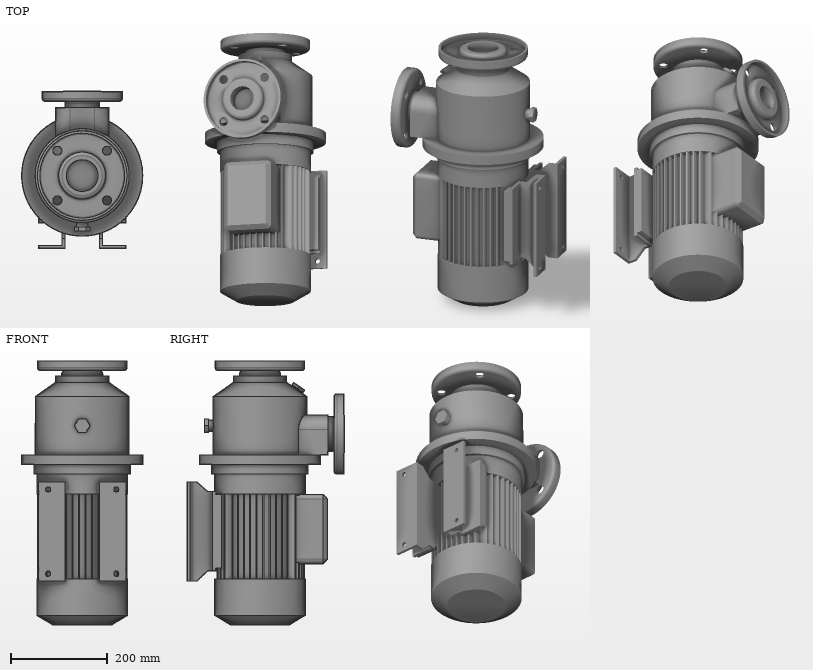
import cadquery as cq
import math

TOTAL_HEIGHT = 545.0
FAN_COVER_CONE_TOP = 19.5
FIN_BOTTOM = 95.0
FIN_TOP = 270.5
SPIGOT_BOTTOM = 312.0
MOTOR_FLANGE_BOTTOM = 331.5
JOINT_HEIGHT = 351.0
CASING_CONE_BOTTOM = 471.0
CASING_CONE_TOP = 500.5
COLLAR_TOP = 514.0

MOTOR_RADIUS = 94.0
FAN_COVER_END_RADIUS = 61.0
MOTOR_CORE_RADIUS = 80.5
FIN_TIP_RADIUS = 92.5
SPIGOT_RADIUS = 100.0
MOTOR_FLANGE_DIAMETER = 250.0
FIN_THICKNESS = 2.0
FIN_PITCH_ANGLE = 8.4
FINS_PER_SIDE = 10
FIN_FRONT_LIMIT = -89.0

BOX_WIDTH = 100.5
BOX_BACK = 139.5
BOX_BOTTOM = 126.0
BOX_HEIGHT = 143.5
BOX_EDGE_RADIUS = 10.0
BOX_CHAMFER = 9.0

BRACKET_INNER_X = 35.5
BRACKET_OUTER_X = 90.0
BRACKET_FRONT = -150.5
BRACKET_THICKNESS = 6.5
BRACKET_BACK_FACE = -91.0
FOOT_BOTTOM = 90.0
FOOT_HEIGHT = 205.0
LEG_BOTTOM = 111.0
LEG_HEIGHT = 164.0
LEG_TAPER_START = -108.0
LEG_TAPER_END = -130.0
PAD_BACK = -79.0
PAD_END_INSET = 6.0
FOOT_HOLE_DIAMETER = 10.5
FOOT_HOLE_X = 70.5
FOOT_HOLE_INSET = 15.0

CASING_RADIUS = 97.0
COLLAR_RADIUS = 55.0
OUTLET_HEIGHT = 394.0
OUTLET_BLOCK_WIDTH = 110.0
OUTLET_BLOCK_TOP = 433.5
OUTLET_BLOCK_BACK = 140.0
OUTLET_BLOCK_RADIUS = 30.0

FLANGE_THICKNESS = 20.0
FLANGE_FLOOR = 5.5
FLANGE_RIM = 5.0
FLANGE_EDGE_RADIUS = 6.0
FLANGE_HOLE_DIAMETER = 18.5
FLANGE_HOLES = 4
RAISED_FACE_ROUNDING = 7.0
FLOOR_FILLET = 2.0

SUCTION_DIAMETER = 185.0
SUCTION_HOLE_CIRCLE = 145.0
SUCTION_BORE_RADIUS = 32.5
SUCTION_FACE_RADIUS = 48.5
SUCTION_NECK_RADIUS = 42.5
SUCTION_NECK_ROUNDING = 7.5

OUTLET_DIAMETER = 165.5
OUTLET_HOLE_CIRCLE = 125.0
OUTLET_BORE_RADIUS = 25.0
OUTLET_FACE_RADIUS = 43.5
OUTLET_FACE_RISE = 1.0
OUTLET_RIM_BACK = 173.5
OUTLET_NECK_RADIUS = 36.0
OUTLET_NECK_ROUNDING = 4.0

PLUG_ACROSS_FLATS = 28.0
PLUG_STEM_RADIUS = 12.0
DRAIN_HEIGHT = 411.0
DRAIN_STEM_LENGTH = 8.5
DRAIN_HEAD_THICKNESS = 8.5
VENT_RADIUS = 76.5
VENT_STEM_LENGTH = 2.0
VENT_HEAD_THICKNESS = 6.0
PLUG_ROOT = 5.5


def block(x_range, y_range, z_range):
    """Box spanning the given ranges."""
    sizes = [high - low for low, high in (x_range, y_range, z_range)]
    corner = (x_range[0], y_range[0], z_range[0])
    return cq.Workplane("XY").box(*sizes, centered=False).translate(corner)


def cylinder(radius, bottom, top):
    """Cylinder on the shaft axis."""
    return cq.Workplane("XY").workplane(offset=bottom).circle(radius).extrude(top - bottom)



def motor_shell():
    """Turned motor outline with the bare core between fan cover and end shield."""
    return (
        cq.Workplane("XZ")
        .moveTo(0, 0)
        .lineTo(FAN_COVER_END_RADIUS, 0)
        .lineTo(MOTOR_RADIUS, FAN_COVER_CONE_TOP)
        .lineTo(MOTOR_RADIUS, FIN_BOTTOM)
        .lineTo(MOTOR_CORE_RADIUS, FIN_BOTTOM)
        .lineTo(MOTOR_CORE_RADIUS, FIN_TOP)
        .lineTo(MOTOR_RADIUS, FIN_TOP)
        .lineTo(MOTOR_RADIUS, SPIGOT_BOTTOM)
        .lineTo(SPIGOT_RADIUS, SPIGOT_BOTTOM)
        .lineTo(SPIGOT_RADIUS, MOTOR_FLANGE_BOTTOM)
        .lineTo(MOTOR_FLANGE_DIAMETER / 2, MOTOR_FLANGE_BOTTOM)
        .lineTo(MOTOR_FLANGE_DIAMETER / 2, JOINT_HEIGHT)
        .lineTo(0, JOINT_HEIGHT)
        .close()
        .revolve(360, (0, 0, 0), (0, 1, 0))
    )


def cooling_fins():
    """Plates along X and along Y, trimmed to the tip radius and flat on the bracket side."""
    middle = (FINS_PER_SIDE - 1) / 2
    angles = [math.radians(FIN_PITCH_ANGLE * (index - middle)) for index in range(FINS_PER_SIDE)]
    offsets = [FIN_TIP_RADIUS * math.sin(angle) for angle in angles]
    length = 2 * FIN_TIP_RADIUS
    height = FIN_TOP - FIN_BOTTOM
    base = cq.Workplane("XY").workplane(offset=FIN_BOTTOM)
    along_x = base.pushPoints([(0, y) for y in offsets]).rect(length, FIN_THICKNESS).extrude(height)
    along_y = base.pushPoints([(x, 0) for x in offsets]).rect(FIN_THICKNESS, length).extrude(height)
    envelope = cylinder(FIN_TIP_RADIUS, FIN_BOTTOM, FIN_TOP).intersect(
        block(
            (-FIN_TIP_RADIUS, FIN_TIP_RADIUS),
            (FIN_FRONT_LIMIT, FIN_TIP_RADIUS),
            (FIN_BOTTOM, FIN_TOP),
        )
    )
    return along_x.union(along_y).intersect(envelope)


def terminal_box():
    """Box with rounded long edges and a chamfered cover face."""
    return (
        block(
            (-BOX_WIDTH / 2, BOX_WIDTH / 2),
            (0, BOX_BACK),
            (BOX_BOTTOM, BOX_BOTTOM + BOX_HEIGHT),
        )
        .edges("|Y")
        .fillet(BOX_EDGE_RADIUS)
        .faces(">Y")
        .chamfer(BOX_CHAMFER)
    )


def bracket():
    """The +X bracket: foot, tapered leg, plate against the motor, and motor pad."""
    across = (BRACKET_INNER_X, BRACKET_OUTER_X)
    foot_top = FOOT_BOTTOM + FOOT_HEIGHT
    leg_top = LEG_BOTTOM + LEG_HEIGHT
    plate_front = BRACKET_BACK_FACE - BRACKET_THICKNESS

    foot = block(across, (BRACKET_FRONT, BRACKET_FRONT + BRACKET_THICKNESS), (FOOT_BOTTOM, foot_top))
    holes = (
        cq.Workplane("XZ", origin=(0, BRACKET_FRONT + BRACKET_THICKNESS, 0))
        .pushPoints([
            (FOOT_HOLE_X, FOOT_BOTTOM + FOOT_HOLE_INSET),
            (FOOT_HOLE_X, foot_top - FOOT_HOLE_INSET),
        ])
        .circle(FOOT_HOLE_DIAMETER / 2)
        .extrude(BRACKET_THICKNESS)
    )
    leg = (
        cq.Workplane("YZ", origin=(BRACKET_INNER_X, 0, 0))
        .polyline([
            (BRACKET_FRONT, FOOT_BOTTOM),
            (LEG_TAPER_END, FOOT_BOTTOM),
            (LEG_TAPER_START, LEG_BOTTOM),
            (BRACKET_BACK_FACE, LEG_BOTTOM),
            (BRACKET_BACK_FACE, leg_top),
            (LEG_TAPER_START, leg_top),
            (LEG_TAPER_END, foot_top),
            (BRACKET_FRONT, foot_top),
        ])
        .close()
        .extrude(BRACKET_THICKNESS)
    )
    plate = block(across, (plate_front, BRACKET_BACK_FACE), (LEG_BOTTOM, leg_top))
    pad = block(
        across,
        (BRACKET_BACK_FACE, PAD_BACK),
        (LEG_BOTTOM + PAD_END_INSET, leg_top - PAD_END_INSET),
    )
    return foot.cut(holes).union(leg).union(plate).union(pad)


def make_motor():
    right_bracket = bracket()
    left_bracket = right_bracket.mirror("YZ")
    return (
        motor_shell()
        .union(cooling_fins())
        .union(terminal_box())
        .union(right_bracket)
        .union(left_bracket)
    )



def casing_shell():
    """Turned pump casing with a conical shoulder and a collar under the suction neck."""
    return (
        cq.Workplane("XZ")
        .moveTo(0, JOINT_HEIGHT)
        .lineTo(CASING_RADIUS, JOINT_HEIGHT)
        .lineTo(CASING_RADIUS, CASING_CONE_BOTTOM)
        .lineTo(COLLAR_RADIUS, CASING_CONE_TOP)
        .lineTo(COLLAR_RADIUS, COLLAR_TOP)
        .lineTo(0, COLLAR_TOP)
        .close()
        .revolve(360, (0, 0, 0), (0, 1, 0))
    )


def outlet_block():
    """Block behind the casing that carries the outlet, rounded along its top edges."""
    return (
        block(
            (-OUTLET_BLOCK_WIDTH / 2, OUTLET_BLOCK_WIDTH / 2),
            (0, OUTLET_BLOCK_BACK),
            (JOINT_HEIGHT, OUTLET_BLOCK_TOP),
        )
        .edges("|Y and >Z")
        .fillet(OUTLET_BLOCK_RADIUS)
    )


def pipe_flange(diameter, hole_circle, bore_radius, face_radius, face_height, neck_radius, neck_length,
                neck_rounding):
    """Dished flange on a neck that starts at z = 0, opening toward +Z, with its bore and bolt holes.

    The raised face stands face_height above the back of the flange, and the neck rounds inward
    over its last neck_rounding to meet that back.
    """
    radius = diameter / 2
    rim_inner = radius - FLANGE_RIM
    back = neck_length
    top = back + FLANGE_THICKNESS
    floor = back + FLANGE_FLOOR
    face = back + face_height
    turned = (
        cq.Workplane("XZ")
        .moveTo(bore_radius, 0)
        .lineTo(neck_radius, 0)
        .lineTo(neck_radius, back - neck_rounding)
        .radiusArc((neck_radius - neck_rounding, back), -neck_rounding)
        .lineTo(radius - FLANGE_EDGE_RADIUS, back)
        .radiusArc((radius, back + FLANGE_EDGE_RADIUS), -FLANGE_EDGE_RADIUS)
        .lineTo(radius, top)
        .lineTo(rim_inner, top)
        .lineTo(rim_inner, floor + FLOOR_FILLET)
        .radiusArc((rim_inner - FLOOR_FILLET, floor), FLOOR_FILLET)
        .lineTo(face_radius + FLOOR_FILLET, floor)
        .radiusArc((face_radius, floor + FLOOR_FILLET), FLOOR_FILLET)
        .lineTo(face_radius, face - RAISED_FACE_ROUNDING)
        .radiusArc((face_radius - RAISED_FACE_ROUNDING, face), -RAISED_FACE_ROUNDING)
        .lineTo(bore_radius, face)
        .close()
        .revolve(360, (0, 0, 0), (0, 1, 0))
    )
    holes = (
        cq.Workplane("XY")
        .workplane(offset=back)
        .polarArray(hole_circle / 2, 45, 360, FLANGE_HOLES)
        .circle(FLANGE_HOLE_DIAMETER / 2)
        .extrude(FLANGE_FLOOR)
    )
    return turned.cut(holes)


def suction_flange():
    """Inlet flange on top of the casing collar."""
    flange = pipe_flange(
        diameter=SUCTION_DIAMETER,
        hole_circle=SUCTION_HOLE_CIRCLE,
        bore_radius=SUCTION_BORE_RADIUS,
        face_radius=SUCTION_FACE_RADIUS,
        face_height=FLANGE_THICKNESS,
        neck_radius=SUCTION_NECK_RADIUS,
        neck_length=TOTAL_HEIGHT - FLANGE_THICKNESS - COLLAR_TOP,
        neck_rounding=SUCTION_NECK_ROUNDING,
    )
    return flange.translate((0, 0, COLLAR_TOP))


def outlet_flange():
    """Outlet flange behind the outlet block, its raised face standing proud of the rim."""
    flange = pipe_flange(
        diameter=OUTLET_DIAMETER,
        hole_circle=OUTLET_HOLE_CIRCLE,
        bore_radius=OUTLET_BORE_RADIUS,
        face_radius=OUTLET_FACE_RADIUS,
        face_height=FLANGE_THICKNESS + OUTLET_FACE_RISE,
        neck_radius=OUTLET_NECK_RADIUS,
        neck_length=OUTLET_RIM_BACK - FLANGE_THICKNESS - OUTLET_BLOCK_BACK,
        neck_rounding=OUTLET_NECK_ROUNDING,
    )
    facing_back = flange.rotate((0, 0, 0), (1, 0, 0), -90)
    return facing_back.translate((0, OUTLET_BLOCK_BACK, OUTLET_HEIGHT))


def hex_plug(origin, direction, stem_length, head_thickness):
    """Hexagon screw plug with two flats square to the YZ plane, its stem sunk into the wall."""
    wall = cq.Plane(origin=origin, xDir=(1, 0, 0), normal=direction)
    corner_diameter = PLUG_ACROSS_FLATS / math.cos(math.pi / 6)
    stem = (
        cq.Workplane(wall)
        .workplane(offset=-PLUG_ROOT)
        .circle(PLUG_STEM_RADIUS)
        .extrude(PLUG_ROOT + stem_length)
    )
    head = (
        cq.Workplane(wall)
        .workplane(offset=stem_length)
        .polygon(6, corner_diameter)
        .extrude(head_thickness)
    )
    return stem.union(head)


def drain_plug():
    origin = (0, -CASING_RADIUS, DRAIN_HEIGHT)
    return hex_plug(origin, (0, -1, 0), DRAIN_STEM_LENGTH, DRAIN_HEAD_THICKNESS)


def vent_plug():
    """Plug standing square on the conical shoulder at the back."""
    run = CASING_RADIUS - COLLAR_RADIUS
    rise = CASING_CONE_TOP - CASING_CONE_BOTTOM
    height = CASING_CONE_BOTTOM + (CASING_RADIUS - VENT_RADIUS) * rise / run
    return hex_plug((0, VENT_RADIUS, height), (0, rise, run), VENT_STEM_LENGTH, VENT_HEAD_THICKNESS)


def make_pump():
    return (
        casing_shell()
        .union(outlet_block())
        .union(suction_flange())
        .union(outlet_flange())
        .union(drain_plug())
        .union(vent_plug())
    )


motor = make_motor()
pump = make_pump()

result = cq.Compound.makeCompound([motor.val(), pump.val()])